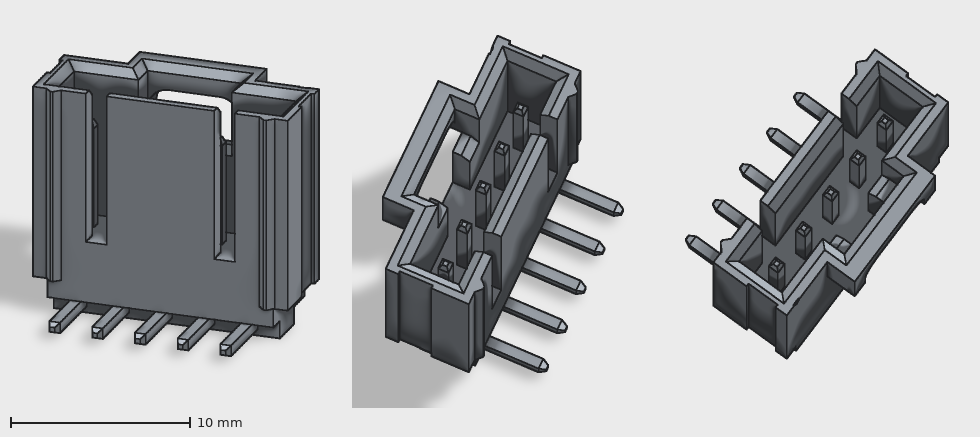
import cadquery as cq


TOTAL_HEIGHT = 13.59
TOTAL_DEPTH = 10.68
PIN_COUNT = 5
PIN_PITCH = 2.54

BODY_WIDTH = 15.16
BODY_BACK = 2.55
BODY_FRONT = -2.55
BODY_BOTTOM = 2.18
WALL = 1.06
CAVITY_WIDTH = 13.2
CAVITY_FRONT = BODY_FRONT + WALL
CAVITY_BACK = BODY_BACK - WALL
FLOOR_Z = 4.68

LEAD_IN_WIDTH = 0.53
LEAD_IN_HEIGHT = 0.46

BASE_WIDTH = 13.44
BASE_BOTTOM = 1.05
FOOT_BACK = 0.85
FOOT_FRONT = -1.51

SIDE_GROOVE_DEPTH = 0.19
SIDE_GROOVE_BACK = 1.77
SIDE_GROOVE_FRONT = -0.25

RIB_X = 6.34
RIB_BASE_WIDTH = 0.90
RIB_TIP_WIDTH = 0.16
RIB_HEIGHT = 0.36

FRONT_SLOT_X = 3.81
FRONT_SLOT_WIDTH = 1.24

LATCH_WIDTH = 7.55
LATCH_BACK = 4.45
LATCH_BOTTOM = 9.77
LATCH_OPENING_WIDTH = 5.55
LATCH_OPENING_BACK = 2.99
LATCH_WINDOW_TOP = 12.13
LATCH_WINDOW_RADIUS = 1.27
BACK_SLOT_WIDTH = 3.0

NOTCH_X = 6.65
NOTCH_WIDTH = 0.52
NOTCH_HEIGHT = 0.45
NOTCH_DEPTH = 0.06

PIN_SIZE = 0.64
PIN_TIP_SIZE = 0.28
PIN_TIP_LENGTH = 0.39
PIN_TOP = 11.0
TAIL_Z = 0.69
TAIL_END = LATCH_BACK - TOTAL_DEPTH


def box(width, y_front, y_back, z_bottom, z_top, x_center=0):
    """Block centred on x_center, given by its limits in Y and Z."""
    depth = y_back - y_front
    height = z_top - z_bottom
    block = cq.Workplane("XY").box(width, depth, height, centered=(True, False, False))
    return block.translate((x_center, y_front, z_bottom))


def pocket_with_lead_in(width, y_front, y_back, z_bottom, z_top):
    """Cutter for a rectangular pocket whose mouth widens along a sloping lead-in."""
    pocket = box(width, y_front, y_back, z_bottom, z_top)
    depth = y_back - y_front
    mouth = (
        cq.Workplane("XY", origin=(0, (y_front + y_back) / 2, z_top - LEAD_IN_HEIGHT))
        .rect(width, depth)
        .workplane(offset=LEAD_IN_HEIGHT)
        .rect(width + 2 * LEAD_IN_WIDTH, depth + 2 * LEAD_IN_WIDTH)
        .loft(ruled=True)
    )
    return pocket.union(mouth)


def outer_body():
    """Solid outline of shroud, base, foot and latch housing."""
    body = box(BODY_WIDTH, BODY_FRONT, BODY_BACK, BODY_BOTTOM, TOTAL_HEIGHT)
    body = body.union(box(BASE_WIDTH, BODY_FRONT, BODY_BACK, BASE_BOTTOM, BODY_BOTTOM))
    body = body.union(box(BASE_WIDTH, FOOT_FRONT, FOOT_BACK, 0, BASE_BOTTOM))
    return body.union(box(LATCH_WIDTH, 0, LATCH_BACK, LATCH_BOTTOM, TOTAL_HEIGHT))


def cut_cavity(body):
    """Mating cavity with its sloping lead-in."""
    cavity = pocket_with_lead_in(CAVITY_WIDTH, CAVITY_FRONT, CAVITY_BACK, FLOOR_Z, TOTAL_HEIGHT)
    return body.cut(cavity)


def cut_latch_opening(body):
    """Latch opening through the back wall, its arched window and the narrow slot below it."""
    opening = pocket_with_lead_in(LATCH_OPENING_WIDTH, 0, LATCH_OPENING_BACK, LATCH_BOTTOM, TOTAL_HEIGHT)
    window = (
        box(LATCH_OPENING_WIDTH, LATCH_OPENING_BACK, LATCH_BACK, LATCH_BOTTOM, LATCH_WINDOW_TOP)
        .edges("|Y and >Z")
        .fillet(LATCH_WINDOW_RADIUS)
    )
    back_slot = box(BACK_SLOT_WIDTH, 0, BODY_BACK, FLOOR_Z, LATCH_BOTTOM)
    ledge_lead_in = (
        cq.Workplane("YZ", origin=(-LATCH_OPENING_WIDTH / 2, 0, 0))
        .moveTo(CAVITY_BACK, LATCH_BOTTOM - LEAD_IN_HEIGHT)
        .lineTo(CAVITY_BACK + LEAD_IN_WIDTH, LATCH_BOTTOM)
        .lineTo(CAVITY_BACK, LATCH_BOTTOM)
        .close()
        .extrude(LATCH_OPENING_WIDTH)
    )
    return body.cut(opening).cut(window).cut(back_slot).cut(ledge_lead_in)


def cut_front_slots(body):
    """Two open-topped slots through the front wall."""
    for side in (-1, 1):
        slot = box(FRONT_SLOT_WIDTH, BODY_FRONT, 0, FLOOR_Z, TOTAL_HEIGHT, side * FRONT_SLOT_X)
        body = body.cut(slot)
    return body


def cut_side_grooves(body):
    """Shallow full-height grooves down both ends."""
    for side in (-1, 1):
        groove = box(
            2 * SIDE_GROOVE_DEPTH,
            SIDE_GROOVE_FRONT,
            SIDE_GROOVE_BACK,
            BODY_BOTTOM,
            TOTAL_HEIGHT,
            side * BODY_WIDTH / 2,
        )
        body = body.cut(groove)
    return body


def cut_orientation_notch(body):
    """Small V-shaped notch at the top of the back face."""
    notch = (
        cq.Workplane("XZ", origin=(NOTCH_X, BODY_BACK, TOTAL_HEIGHT))
        .moveTo(-NOTCH_WIDTH / 2, 0)
        .lineTo(NOTCH_WIDTH / 2, 0)
        .lineTo(0, -NOTCH_HEIGHT)
        .close()
        .extrude(NOTCH_DEPTH)
    )
    return body.cut(notch)


def add_ribs(body):
    """Trapezoidal ribs up the front face."""
    for side in (-1, 1):
        rib = (
            cq.Workplane("XY", origin=(side * RIB_X, BODY_FRONT, BODY_BOTTOM))
            .moveTo(-RIB_BASE_WIDTH / 2, 0)
            .lineTo(-RIB_TIP_WIDTH / 2, -RIB_HEIGHT)
            .lineTo(RIB_TIP_WIDTH / 2, -RIB_HEIGHT)
            .lineTo(RIB_BASE_WIDTH / 2, 0)
            .close()
            .extrude(TOTAL_HEIGHT - BODY_BOTTOM)
        )
        body = body.union(rib)
    return body


def square_pin(plane, origin, length):
    """Square bar from origin along the plane normal, ending in a tapered tip."""
    shaft_length = length - PIN_TIP_LENGTH
    shaft = cq.Workplane(plane, origin=origin).rect(PIN_SIZE, PIN_SIZE).extrude(shaft_length)
    tip = (
        cq.Workplane(plane, origin=origin)
        .workplane(offset=shaft_length)
        .rect(PIN_SIZE, PIN_SIZE)
        .workplane(offset=PIN_TIP_LENGTH)
        .rect(PIN_TIP_SIZE, PIN_TIP_SIZE)
        .loft(ruled=True)
    )
    return shaft.union(tip)


def add_pins(body):
    """Row of contacts: an upright blade in the cavity and a tail leaving forward through the foot."""
    for index in range(PIN_COUNT):
        x = (index - (PIN_COUNT - 1) / 2) * PIN_PITCH
        blade = square_pin("XY", (x, 0, TAIL_Z), PIN_TOP - TAIL_Z)
        tail = square_pin("XZ", (x, 0, TAIL_Z), -TAIL_END)
        body = body.union(blade).union(tail)
    return body


result = outer_body()
result = cut_cavity(result)
result = cut_latch_opening(result)
result = cut_front_slots(result)
result = cut_side_grooves(result)
result = cut_orientation_notch(result)
result = add_ribs(result)
result = add_pins(result)